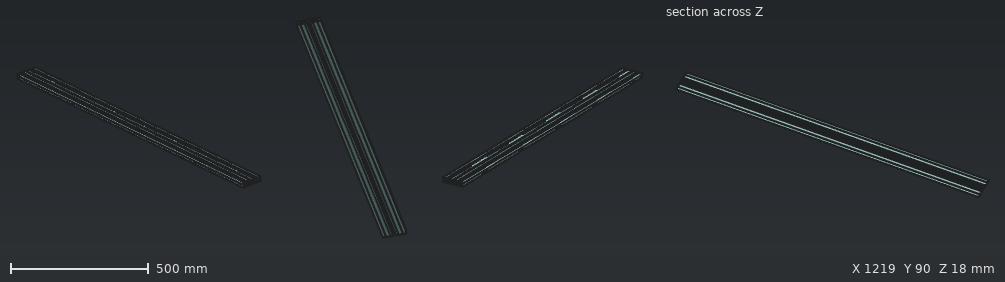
import cadquery as cq

length = 1219.0
width = 90.0
height = 18.0
flange = 3.4
web = 1.8
side_groove_depth = 12.0
corner_radius = 2.0

slot_mouth = 7.0
slot_center = 23.8
slot_inner_wall = 16.0

channel_width = 9.0
channel_roof = 3.0

pocket_inner = 6.0
pocket_outer = 15.0
pocket_floor = 1.5
pocket_top = 6.0

port_diameter = 6.7
port_y = (pocket_inner + pocket_outer) / 2
port_z = 10.4


def bar(y_low, y_high, z_low, z_high):
    """Full-length rectangular bar between the given Y and Z limits."""
    return cq.Workplane("XY").box(
        length, y_high - y_low, z_high - z_low
    ).translate((0, (y_low + y_high) / 2, (z_low + z_high) / 2))


def half_cuts():
    """Grooves and bores on the +Y side of the profile."""
    half_width = width / 2
    groove_bottom = half_width - side_groove_depth
    side_groove = bar(groove_bottom, half_width, flange, height - flange)
    slot_cavity = bar(slot_inner_wall, groove_bottom - web, flange, height - flange)
    mouth_low = slot_center - slot_mouth / 2
    mouth = bar(mouth_low, mouth_low + slot_mouth, height - flange, height)
    pocket = bar(pocket_inner, pocket_outer, pocket_floor, pocket_top)
    port = (
        cq.Workplane("YZ", origin=(-length / 2, 0, 0))
        .center(port_y, port_z)
        .circle(port_diameter / 2)
        .extrude(length)
    )
    return [side_groove, slot_cavity, mouth, pocket, port]


result = bar(-width / 2, width / 2, 0, height).edges("|X").fillet(corner_radius)
result = result.cut(bar(-channel_width / 2, channel_width / 2, 0, height - channel_roof))
for cut in half_cuts():
    result = result.cut(cut).cut(cut.mirror("XZ"))